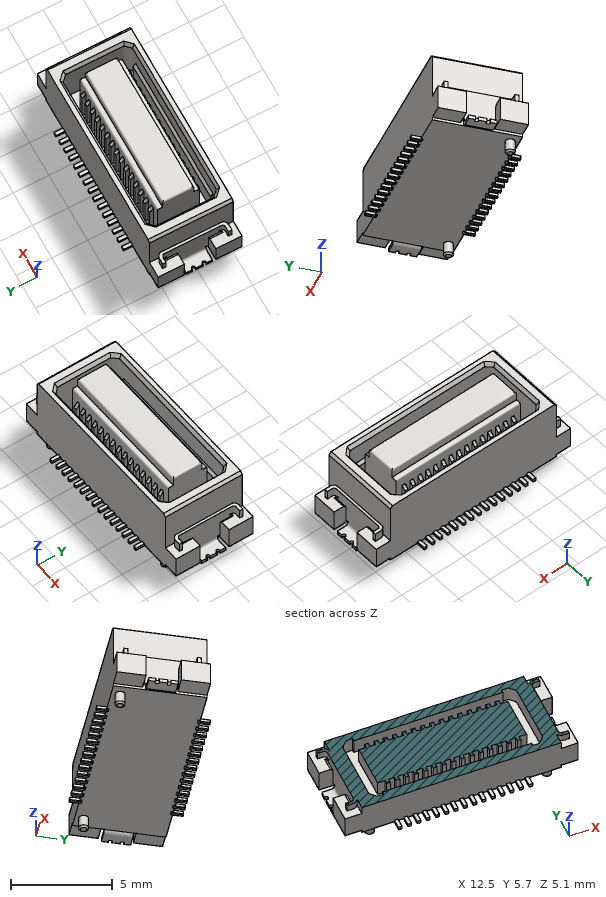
import cadquery as cq
import math


body_length = 10.7
body_width = 4.7
body_height = 3.9
body_top_chamfer = 0.15
ear_span = 12.5
ear_gap = 1.76
ear_bottom = 0.15
ear_top = 1.43

pocket_length = 9.6
pocket_width = 4.18
pocket_corner = 0.39
pocket_floor = 1.0
bevel_width = 0.15
bevel_depth = 0.22
inner_corner = 0.31
inner_corner_radius = 0.2
rib_thickness = 0.155
rib_top = 2.5

plug_length = 8.0
plug_base_width = 2.36
plug_base_top = 3.88
plug_width = 1.76
plug_top = 4.4
plug_fillet = 0.1

contact_count = 15
contact_pitch = 0.5
contact_thickness = 0.2
contact_bottom = -0.09
tail_tip = 2.85
tail_root = 2.2
tail_bend_radius = 0.2
tail_edge_cut = 0.04
lead_reach = 1.39
lead_top = 3.26
lead_slope = math.radians(56)
lead_bend_radius = 0.11

clip_face = 5.5
clip_thickness = 0.2
clip_top = 2.0
clip_wing_bottom = 1.46
clip_width = 3.88
clip_wing_tip = 5.96
clip_bend_radius = 0.15
clip_plate_width = 2.96
clip_plate_bottom = 0.31
foot_width = 1.47
foot_tip = 6.17
foot_bend_radius = 0.15
foot_notch_radius = 0.1
foot_notch_spacing = 0.6
foot_notch_depth = 0.16
slot_chamfer = 0.14
slot_chamfer_end = 1.6

peg_diameter = 0.5
peg_bottom = -0.7
peg_chamfer = 0.09
peg_x = 4.75
peg_y = -1.9

body_end = body_length / 2
body_side = body_width / 2
clip_back = clip_face - clip_thickness


def box(x_min, x_max, y_min, y_max, z_min, z_max):
    """Block between the given limits."""
    block = cq.Workplane("XY").box(x_max - x_min, y_max - y_min, z_max - z_min, centered=False)
    return block.translate((x_min, y_min, z_min))


def centred_box(length, width, z_min, z_max):
    """Block centred on the Z axis."""
    return box(-length / 2, length / 2, -width / 2, width / 2, z_min, z_max)


def with_mirror(shape, plane):
    """The shape together with its mirror image."""
    return shape.union(shape.mirror(plane))


def clipped_rectangle(length, width, corner):
    """Corner points of a rectangle whose corners are cut at 45 degrees."""
    x = length / 2
    y = width / 2
    return [
        (x, corner - y), (x, y - corner), (x - corner, y), (corner - x, y),
        (-x, y - corner), (-x, corner - y), (corner - x, -y), (x - corner, -y),
    ]


def make_housing():
    body = centred_box(body_length, body_width, 0, body_height)
    body = body.faces(">Z").edges("|Y").chamfer(body_top_chamfer)
    return body.cut(make_pocket())


def make_pocket():
    """Pocket with a bevelled mouth and a sloped rib along each long wall."""
    bevel_bottom = body_height - bevel_depth
    inner_length = pocket_length - 2 * bevel_width
    inner_width = pocket_width - 2 * bevel_width
    inner_outline = clipped_rectangle(inner_length, inner_width, inner_corner)
    outer_outline = clipped_rectangle(pocket_length, pocket_width, pocket_corner)

    mouth = (
        cq.Workplane("XY", origin=(0, 0, bevel_bottom))
        .polyline(inner_outline).close()
        .workplane(offset=bevel_depth)
        .polyline(outer_outline).close()
        .loft(ruled=True)
    )
    well = (
        cq.Workplane("XY", origin=(0, 0, pocket_floor))
        .polyline(inner_outline).close()
        .extrude(bevel_bottom - pocket_floor)
        .edges("|Z").fillet(inner_corner_radius)
    )
    wall = inner_width / 2
    rib_face = wall - rib_thickness
    rib = (
        cq.Workplane("YZ", origin=(-plug_length / 2, 0, 0))
        .moveTo(wall, pocket_floor)
        .lineTo(wall, rib_top)
        .lineTo(rib_face, rib_top - rib_thickness)
        .lineTo(rib_face, pocket_floor)
        .close()
        .extrude(plug_length)
    )
    return well.cut(with_mirror(rib, "XZ")).union(mouth)


def make_plug():
    base = centred_box(plug_length, plug_base_width, pocket_floor, plug_base_top)
    base = base.faces(">Z").edges("|X").fillet(plug_fillet)
    tongue = centred_box(plug_length, plug_width, pocket_floor, plug_top)
    tongue = tongue.faces(">Z").edges().fillet(plug_fillet)
    return base.union(tongue)


def make_contact():
    """One contact on the +Y side: solder tail outside, sloped lead inside the pocket."""
    half = contact_thickness / 2
    tail = box(-half, half, tail_root, tail_tip, contact_bottom, contact_bottom + contact_thickness)
    root_round = (
        cq.Workplane("YZ", origin=(-half, 0, 0))
        .moveTo(tail_root, contact_bottom)
        .lineTo(tail_root, contact_bottom + tail_bend_radius)
        .radiusArc((tail_root + tail_bend_radius, contact_bottom), -tail_bend_radius)
        .close()
        .extrude(contact_thickness)
    )
    tail = tail.faces("<Z").edges("|Y").chamfer(tail_edge_cut).cut(root_round)

    plug_side = plug_base_width / 2
    bend_start = lead_reach - lead_bend_radius * math.sin(lead_slope)
    bend_top = lead_top - (bend_start - plug_side) * math.tan(lead_slope)
    tip_z = bend_top - lead_bend_radius * (1 - math.cos(lead_slope))
    lead = (
        cq.Workplane("YZ", origin=(-half, 0, 0))
        .moveTo(plug_side, pocket_floor)
        .lineTo(plug_side, lead_top)
        .lineTo(bend_start, bend_top)
        .radiusArc((lead_reach, tip_z), -lead_bend_radius)
        .lineTo(lead_reach, pocket_floor)
        .close()
        .extrude(contact_thickness)
    )
    return tail.union(lead)


def make_ear():
    """Ear at the +X +Y corner, chamfered where the clip enters it."""
    inner_side = ear_gap / 2
    ear = box(body_end, ear_span / 2, inner_side, body_side, ear_bottom, ear_top)
    lead_in = (
        cq.Workplane("XZ", origin=(0, slot_chamfer_end, 0))
        .moveTo(clip_face, ear_top)
        .lineTo(clip_face + slot_chamfer, ear_top)
        .lineTo(clip_face, ear_top - slot_chamfer)
        .close()
        .extrude(slot_chamfer_end - inner_side)
    )
    return ear.cut(lead_in)


def make_clip():
    """Clip at the +X end: bent wings on top, a plate, and a solder foot bent outwards."""
    half_width = clip_width / 2
    outer_radius = clip_bend_radius + clip_thickness
    wings = box(clip_back, clip_wing_tip, -half_width, half_width, clip_wing_bottom, clip_top)
    wings = wings.edges("|Z and <X").fillet(outer_radius)
    inner_half = half_width - clip_thickness
    hollow = box(clip_face, ear_span, -inner_half, inner_half, clip_wing_bottom, clip_top)
    hollow = hollow.edges("|Z and <X").fillet(clip_bend_radius)
    wings = wings.cut(hollow)

    plate_half = clip_plate_width / 2
    plate = box(clip_back, clip_face, -plate_half, plate_half, clip_plate_bottom, clip_wing_bottom)
    return wings.union(plate).union(make_foot())


def make_foot():
    """Foot bent out of the clip plate, with two round-ended notches in its tip."""
    foot_top = contact_bottom + contact_thickness
    bend_z = foot_top + foot_bend_radius
    bend_x = clip_face + foot_bend_radius
    outer_radius = foot_bend_radius + contact_thickness
    foot = (
        cq.Workplane("XZ", origin=(0, foot_width / 2, 0))
        .moveTo(clip_face, clip_plate_bottom)
        .lineTo(clip_face, bend_z)
        .radiusArc((bend_x, foot_top), -foot_bend_radius)
        .lineTo(foot_tip, foot_top)
        .lineTo(foot_tip, contact_bottom)
        .lineTo(bend_x, contact_bottom)
        .radiusArc((clip_back, bend_z), outer_radius)
        .lineTo(clip_back, clip_plate_bottom)
        .close()
        .extrude(foot_width)
    )
    notch_centre = foot_tip - foot_notch_depth + foot_notch_radius
    for y in (-foot_notch_spacing / 2, foot_notch_spacing / 2):
        notch = (
            cq.Workplane("XY", origin=(notch_centre, y, contact_bottom))
            .circle(foot_notch_radius)
            .extrude(contact_thickness)
        )
        foot = foot.cut(notch)
    return foot


def make_peg():
    peg = (
        cq.Workplane("XY", origin=(peg_x, peg_y, peg_bottom))
        .circle(peg_diameter / 2)
        .extrude(-peg_bottom)
    )
    return peg.faces("<Z").chamfer(peg_chamfer)


result = make_housing().union(make_plug())
result = result.union(with_mirror(with_mirror(make_ear(), "XZ"), "YZ"))
result = result.union(with_mirror(make_clip(), "YZ"))
result = result.union(with_mirror(make_peg(), "YZ"))

contact_pair = with_mirror(make_contact(), "XZ")
first_contact_x = -contact_pitch * (contact_count - 1) / 2
for i in range(contact_count):
    result = result.union(contact_pair.translate((first_contact_x + i * contact_pitch, 0, 0)))